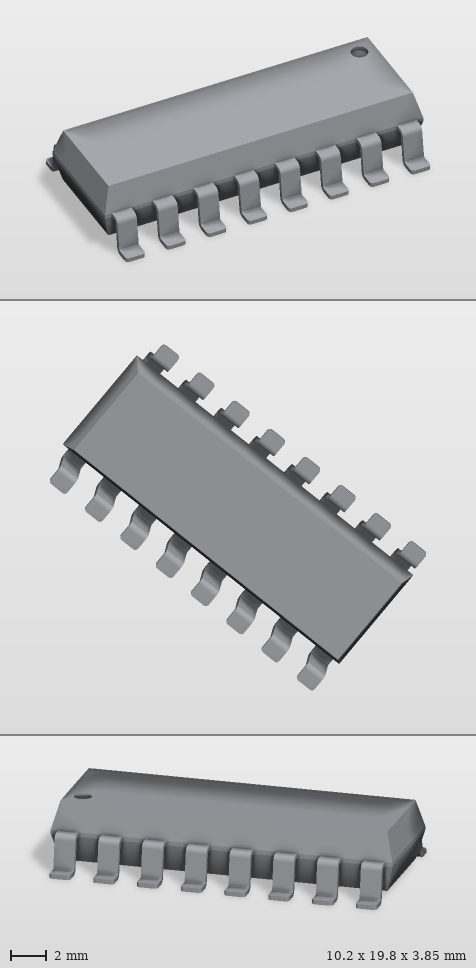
import cadquery as cq
import math

body_length = 19.84
body_width = 6.5
body_bottom = 0.38
body_top = 3.85
mould_draft = 15.0

leads_per_side = 8
lead_pitch = 2.54
lead_width = 1.21
lead_thickness = 0.25
lead_top = 2.22
lead_span = 10.15
lead_slope = 8.0
inner_bend_radius = 0.1
upper_bend_x = 3.61
foot_corner_radius = 0.2
lead_embed = 0.4

mark_radius = 0.5
mark_depth = 0.25
mark_x = -1.8
mark_y = 8.47

band_bottom = lead_top - lead_thickness
outer_bend_radius = inner_bend_radius + lead_thickness


def make_body():
    band = cq.Workplane("XY", origin=(0, 0, band_bottom)).rect(body_width, body_length)
    band = band.extrude(lead_thickness)
    upper = band.faces(">Z").workplane().rect(body_width, body_length)
    upper = upper.extrude(body_top - lead_top, taper=mould_draft, combine=False)
    lower = band.faces("<Z").workplane().rect(body_width, body_length)
    lower = lower.extrude(band_bottom - body_bottom, taper=mould_draft, combine=False)
    return band.union(upper).union(lower)


def cut_pin_one_mark(body):
    mark = cq.Workplane("XY", origin=(mark_x, mark_y, body_top)).circle(mark_radius)
    return body.cut(mark.extrude(-mark_depth))


def polar_point(center, radius, degrees):
    angle = math.radians(degrees)
    return (center[0] + radius * math.cos(angle), center[1] + radius * math.sin(angle))


def make_lead():
    """Gull-wing lead on the +X side, centred on Y = 0."""
    slope = math.radians(lead_slope)
    bend_radii = inner_bend_radius + outer_bend_radius
    upper_center = (upper_bend_x, lead_top - outer_bend_radius)
    center_drop = upper_center[1] - outer_bend_radius
    center_shift = (bend_radii + center_drop * math.sin(slope)) / math.cos(slope)
    lower_center = (upper_bend_x + center_shift, outer_bend_radius)

    upper_middle = (90 + lead_slope) / 2
    lower_end = 180 + lead_slope
    lower_middle = (lower_end + 270) / 2

    root_x = body_width / 2 - lead_embed
    tip_x = lead_span / 2
    profile = (
        cq.Workplane("XZ", origin=(0, lead_width / 2, 0))
        .moveTo(root_x, lead_top)
        .lineTo(upper_bend_x, lead_top)
        .threePointArc(
            polar_point(upper_center, outer_bend_radius, upper_middle),
            polar_point(upper_center, outer_bend_radius, lead_slope),
        )
        .lineTo(*polar_point(lower_center, inner_bend_radius, lower_end))
        .threePointArc(
            polar_point(lower_center, inner_bend_radius, lower_middle),
            polar_point(lower_center, inner_bend_radius, 270),
        )
        .lineTo(tip_x, lead_thickness)
        .lineTo(tip_x, 0)
        .lineTo(lower_center[0], 0)
        .threePointArc(
            polar_point(lower_center, outer_bend_radius, lower_middle),
            polar_point(lower_center, outer_bend_radius, lower_end),
        )
        .lineTo(*polar_point(upper_center, inner_bend_radius, lead_slope))
        .threePointArc(
            polar_point(upper_center, inner_bend_radius, upper_middle),
            polar_point(upper_center, inner_bend_radius, 90),
        )
        .lineTo(root_x, band_bottom)
        .close()
    )
    lead = profile.extrude(lead_width)
    return lead.faces(">X").edges("|Z").fillet(foot_corner_radius)


right_lead = make_lead()
left_lead = right_lead.mirror("YZ")
first_lead_y = -lead_pitch * (leads_per_side - 1) / 2

result = cut_pin_one_mark(make_body())
for index in range(leads_per_side):
    lead_offset = (0, first_lead_y + index * lead_pitch, 0)
    result = result.union(right_lead.translate(lead_offset)).union(left_lead.translate(lead_offset))